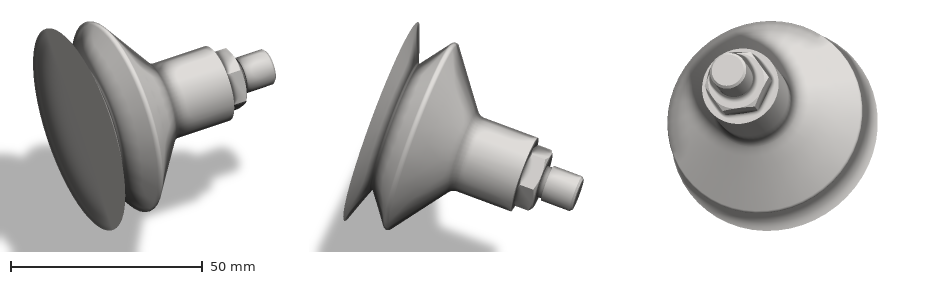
import cadquery as cq
import math


lip_radius = 27.7
groove_corner = (17.25, 3.95)
groove_rounding = 0.4
ridge_corner = (26.7, 11.15)
ridge_rounding = 0.95

sleeve_radius = 20.5 / 2
sleeve_base_y = 23.6
sleeve_rounding = 2.9
sleeve_top_y = 40.0

nut_across_flats = 14.95
nut_height = 5.0
nut_turn = 4.2
nut_chamfer_angle = 30.0
nut_top_y = sleeve_top_y + nut_height

undercut_radius = 8.6 / 2
undercut_length = 1.5
thread_radius = 9.7 / 2
thread_chamfer = 0.6
total_length = 55.0
thread_start_y = nut_top_y + undercut_length


def corner_arc(before, corner, after, radius):
    """Start, middle and end of the arc that rounds a corner between two straight lines."""
    corner = cq.Vector(*corner)
    to_before = (cq.Vector(*before) - corner).normalized()
    to_after = (cq.Vector(*after) - corner).normalized()
    half_angle = to_before.getAngle(to_after) / 2
    setback = radius / math.tan(half_angle)
    middle_distance = radius / math.sin(half_angle) - radius
    bisector = (to_before + to_after).normalized()
    start = corner + to_before * setback
    middle = corner + bisector * middle_distance
    end = corner + to_after * setback
    return [point.toTuple()[:2] for point in (start, middle, end)]


def revolve_about_y(profile):
    return profile.close().revolve(360, (0, 0, 0), (0, 1, 0))


def make_bellows_and_sleeve():
    lip = (lip_radius, 0)
    sleeve_base = (sleeve_radius, sleeve_base_y)
    sleeve_top = (sleeve_radius, sleeve_top_y)
    corners = [lip, groove_corner, ridge_corner, sleeve_base, sleeve_top]
    roundings = [groove_rounding, ridge_rounding, sleeve_rounding]

    profile = cq.Workplane("XY").lineTo(*lip)
    for index, rounding in enumerate(roundings):
        start, middle, end = corner_arc(*corners[index:index + 3], rounding)
        profile = profile.lineTo(*start).threePointArc(middle, end)
    profile = profile.lineTo(*sleeve_top).lineTo(0, sleeve_top_y)
    return revolve_about_y(profile)


def make_nut():
    face_radius = nut_across_flats / 2
    corner_radius = face_radius / math.cos(math.pi / 6)
    hexagon = (
        cq.Workplane("XZ", origin=(0, sleeve_top_y, 0))
        .polygon(6, 2 * corner_radius)
        .extrude(-nut_height)
        .rotate((0, 0, 0), (0, 1, 0), nut_turn)
    )
    blank_radius = corner_radius + 0.55
    chamfer_height = (blank_radius - face_radius) * math.tan(math.radians(nut_chamfer_angle))
    blank = revolve_about_y(
        cq.Workplane("XY")
        .moveTo(0, sleeve_top_y)
        .lineTo(face_radius, sleeve_top_y)
        .lineTo(blank_radius, sleeve_top_y + chamfer_height)
        .lineTo(blank_radius, nut_top_y - chamfer_height)
        .lineTo(face_radius, nut_top_y)
        .lineTo(0, nut_top_y)
    )
    return hexagon.intersect(blank)


def make_stud():
    return revolve_about_y(
        cq.Workplane("XY")
        .moveTo(0, nut_top_y)
        .lineTo(undercut_radius, nut_top_y)
        .lineTo(undercut_radius, thread_start_y)
        .lineTo(thread_radius, thread_start_y)
        .lineTo(thread_radius, total_length - thread_chamfer)
        .lineTo(thread_radius - thread_chamfer, total_length)
        .lineTo(0, total_length)
    )


result = make_bellows_and_sleeve().union(make_nut()).union(make_stud())